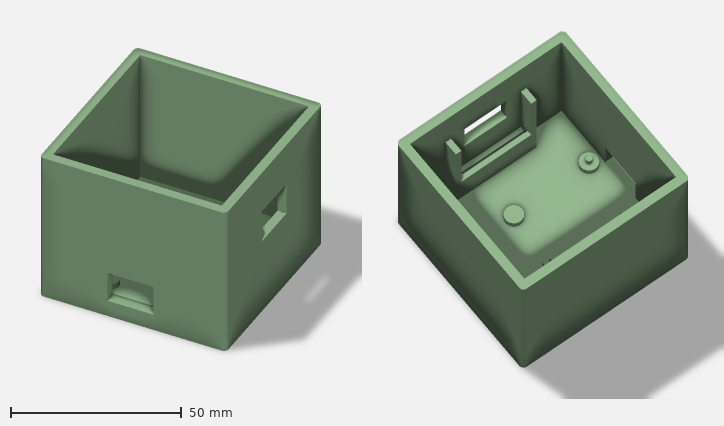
import cadquery as cq

side = 61.5
height = 50.0
cavity_side = 55.55
floor = 6.0
corner_radius = 1.55
inner_half = cavity_side / 2

port_width = 15.1
port_height = 10.0
port_center_x = -0.7
port_sill = 5.5
port_overrun = 0.3

window_width = 15.5
window_height = 10.75
window_sill = 25.3

standoff_diameter = 6.0
standoff_height = 1.95
pin_diameter = 2.0
pin_height = 2.0
pinned_standoffs = [(-10.7, 4.5), (8.85, -23.55)]
plain_standoffs = [(8.25, 4.4), (-11.25, -23.5)]

holder_length = 29.65
holder_depth = 5.1
post_width = 2.0
post_top = 36.05
sill_top = 16.2
lip_width = 1.65
groove_width = 1.9
groove_depth = 4.0
rear_step_depth = 2.9


def block(x_min, x_max, y_min, y_max, z_min, z_max):
    """Axis-aligned box between the given limits."""
    size = (x_max - x_min, y_max - y_min, z_max - z_min)
    return cq.Workplane("XY").box(*size, centered=False).translate((x_min, y_min, z_min))


def make_shell():
    outer = cq.Workplane("XY").box(side, side, height, centered=(True, True, False))
    outer = outer.edges("|Z").fillet(corner_radius)
    cavity = block(-inner_half, inner_half, -inner_half, inner_half, floor, height)
    return outer.cut(cavity)


def make_port():
    x_min = port_center_x - port_width / 2
    y_max = -inner_half + port_overrun
    return block(x_min, x_min + port_width, -side / 2, y_max, port_sill, port_sill + port_height)


def make_window():
    half = window_width / 2
    return block(inner_half, side / 2, -half, half, window_sill, window_sill + window_height)


def make_cylinders(centers, diameter, top):
    """Upright cylinders rising from the floor to the given level."""
    plane = cq.Workplane("XY").workplane(offset=floor)
    return plane.pushPoints(centers).circle(diameter / 2).extrude(top - floor)


def make_holder():
    front = inner_half - holder_depth
    half = holder_length / 2
    inner = half - post_width
    groove_start = front + lip_width
    groove_end = groove_start + groove_width
    holder = block(front, inner_half, -half, half, floor, post_top)
    gap = block(front, inner_half, -inner, inner, sill_top, post_top)
    groove = block(groove_start, groove_end, -inner, inner, sill_top - groove_depth, sill_top)
    rear_step = block(groove_end, inner_half, -inner, inner, sill_top - rear_step_depth, sill_top)
    return holder.cut(gap).cut(groove).cut(rear_step)


standoff_top = floor + standoff_height
result = make_shell().cut(make_port()).cut(make_window())
result = result.union(make_cylinders(pinned_standoffs + plain_standoffs, standoff_diameter, standoff_top))
result = result.union(make_cylinders(pinned_standoffs, pin_diameter, standoff_top + pin_height))
result = result.union(make_holder())